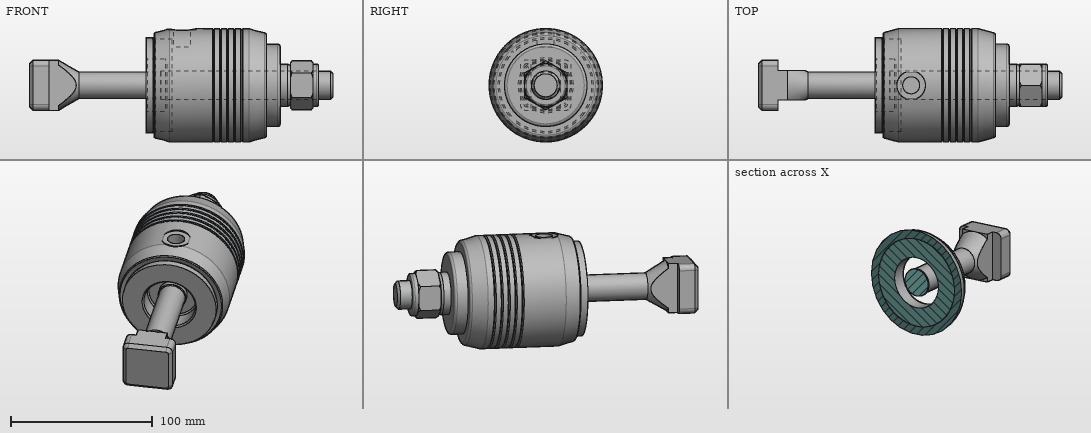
import cadquery as cq
import math

TOTAL_LENGTH = 214.0

HEAD_WIDTH = 35.5
HEAD_LENGTH = 14.0
HEAD_CORNER_RADIUS = 4.0
HEAD_CHAMFER = 2.5
NECK_WIDTH = 21.0
NECK_END = 20.5
CONE_END = 34.9
SHANK_RADIUS = 9.5
THREAD_RADIUS = 10.0
THREAD_START = 92.2
THREAD_END_CHAMFER = 2.0

PISTON_FRONT = 82.2
PISTON_RIM_RADIUS = 33.5
PISTON_RIM_LENGTH = 5.0
PISTON_BODY_RADIUS = 32.5
PISTON_LENGTH = 18.2
PISTON_BORE_RADIUS = 19.5
PISTON_BORE_DEPTH = 14.8
PISTON_BORE_CHAMFER = 1.0

HOUSING_FRONT = 87.7
HOUSING_RADIUS = 40.0
HOUSING_LENGTH = 79.5
FRONT_TAPER_LENGTH = 11.1
REAR_TAPER_LENGTH = 12.5
TAPER_SLOPE = math.tan(math.radians(15))
HOUSING_REAR_ROUND = 2.1
RIM_CHAMFER = 0.6
FLARE_DEPTH = 1.3
FLANGE_RADIUS = 29.0
FLANGE_LENGTH = 9.6
FLANGE_ROUND = 2.0

GROOVE_COUNT = 5
GROOVE_FIRST = 129.7
GROOVE_PITCH = 4.99
GROOVE_WIDTH = 1.5
GROOVE_DEPTH = 1.0

PORT_X = 107.6
PORT_SEAT_RADIUS = 10.0
PORT_SEAT_HEIGHT = 39.0
PORT_RADIUS = 6.0
PORT_DEPTH = 12.0

WASHER_RADIUS = 15.0
WASHER_LENGTH = 7.0
WASHER_CHAMFER_ALONG = 2.0
WASHER_CHAMFER_ACROSS = 0.9
NUT_ACROSS_FLATS = 30.0
NUT_HEX_LENGTH = 16.0
NUT_LENGTH = 20.0
NUT_FACE_RADIUS = 15.8
NUT_CHAMFER_LENGTH = 1.3
COLLAR_ROUND = 1.3

PISTON_REAR = PISTON_FRONT + PISTON_LENGTH
HOUSING_REAR = HOUSING_FRONT + HOUSING_LENGTH
WASHER_FRONT = HOUSING_REAR + FLANGE_LENGTH
NUT_FRONT = WASHER_FRONT + WASHER_LENGTH


def turned(outline):
    """Solid of revolution about the X axis from (x, radius) points."""
    return cq.Workplane("XY").polyline(outline).close().revolve(360, (0, 0, 0), (1, 0, 0))


def cylinder(start, end, radius):
    """Cylinder on the X axis between two X positions."""
    return cq.Workplane("YZ", origin=(start, 0, 0)).circle(radius).extrude(end - start)


def make_bolt():
    half_width = HEAD_WIDTH / 2
    head = (
        cq.Workplane("YZ")
        .rect(HEAD_WIDTH, HEAD_WIDTH)
        .extrude(HEAD_LENGTH)
        .edges("|X")
        .fillet(HEAD_CORNER_RADIUS)
        .faces("<X")
        .chamfer(HEAD_CHAMFER)
    )
    neck = (
        cq.Workplane("YZ", origin=(HEAD_LENGTH, 0, 0))
        .rect(NECK_WIDTH, HEAD_WIDTH)
        .extrude(NECK_END - HEAD_LENGTH)
    )
    flats = cq.Workplane("XY").box(2 * TOTAL_LENGTH, NECK_WIDTH, HEAD_WIDTH)
    cone = turned(
        [(NECK_END, 0), (NECK_END, half_width), (CONE_END, SHANK_RADIUS), (CONE_END, 0)]
    ).intersect(flats)
    shank = turned(
        [
            (NECK_END, 0),
            (NECK_END, SHANK_RADIUS),
            (THREAD_START, SHANK_RADIUS),
            (THREAD_START + THREAD_RADIUS - SHANK_RADIUS, THREAD_RADIUS),
            (TOTAL_LENGTH - THREAD_END_CHAMFER, THREAD_RADIUS),
            (TOTAL_LENGTH, THREAD_RADIUS - THREAD_END_CHAMFER),
            (TOTAL_LENGTH, 0),
        ]
    )
    return head.union(neck).union(cone).union(shank)


def make_piston():
    rim_end = PISTON_FRONT + PISTON_RIM_LENGTH
    bore_end = PISTON_FRONT + PISTON_BORE_DEPTH
    narrow_radius = PISTON_BORE_RADIUS - PISTON_BORE_CHAMFER
    return turned(
        [
            (PISTON_FRONT, PISTON_BORE_RADIUS),
            (PISTON_FRONT, PISTON_RIM_RADIUS),
            (rim_end, PISTON_RIM_RADIUS),
            (rim_end, PISTON_BODY_RADIUS),
            (PISTON_REAR, PISTON_BODY_RADIUS),
            (PISTON_REAR, THREAD_RADIUS),
            (bore_end, THREAD_RADIUS),
            (bore_end, narrow_radius - PISTON_BORE_CHAMFER),
            (bore_end - PISTON_BORE_CHAMFER, narrow_radius),
            (PISTON_FRONT + PISTON_BORE_CHAMFER, narrow_radius),
        ]
    )


def make_housing_body():
    """Tapered barrel with a flared recess for the piston and a stepped rear flange."""
    front_radius = HOUSING_RADIUS - FRONT_TAPER_LENGTH * TAPER_SLOPE
    rear_radius = HOUSING_RADIUS - REAR_TAPER_LENGTH * TAPER_SLOPE
    flare_radius = front_radius - RIM_CHAMFER
    barrel = turned(
        [
            (HOUSING_FRONT, 0),
            (HOUSING_FRONT, flare_radius),
            (HOUSING_FRONT + RIM_CHAMFER, front_radius + RIM_CHAMFER * TAPER_SLOPE),
            (HOUSING_FRONT + FRONT_TAPER_LENGTH, HOUSING_RADIUS),
            (HOUSING_REAR - REAR_TAPER_LENGTH, HOUSING_RADIUS),
            (HOUSING_REAR, rear_radius),
            (HOUSING_REAR, 0),
        ]
    )
    barrel = barrel.faces(">X").edges().fillet(HOUSING_REAR_ROUND)
    flange = cylinder(HOUSING_REAR, WASHER_FRONT, FLANGE_RADIUS).faces(">X").edges().fillet(FLANGE_ROUND)
    recess = turned(
        [
            (HOUSING_FRONT, 0),
            (HOUSING_FRONT, flare_radius),
            (HOUSING_FRONT + FLARE_DEPTH, PISTON_BODY_RADIUS),
            (PISTON_REAR, PISTON_BODY_RADIUS),
            (PISTON_REAR, 0),
        ]
    )
    bolt_hole = cylinder(HOUSING_FRONT, WASHER_FRONT, THREAD_RADIUS)
    return barrel.union(flange).cut(recess).cut(bolt_hole)


def make_groove(x):
    """V-shaped ring that cuts one grip groove centred at the given X."""
    half_width = GROOVE_WIDTH / 2
    return turned(
        [
            (x - half_width, HOUSING_RADIUS),
            (x, HOUSING_RADIUS - GROOVE_DEPTH),
            (x + half_width, HOUSING_RADIUS),
        ]
    )


def make_housing():
    housing = make_housing_body()
    for index in range(GROOVE_COUNT):
        housing = housing.cut(make_groove(GROOVE_FIRST + index * GROOVE_PITCH))
    port_plane = cq.Workplane("XY", origin=(PORT_X, 0, PORT_SEAT_HEIGHT))
    seat = port_plane.circle(PORT_SEAT_RADIUS).extrude(HOUSING_RADIUS - PORT_SEAT_HEIGHT)
    port = port_plane.circle(PORT_RADIUS).extrude(-PORT_DEPTH)
    return housing.cut(seat).cut(port)


def make_washer():
    washer_rear = WASHER_FRONT + WASHER_LENGTH
    return turned(
        [
            (WASHER_FRONT, THREAD_RADIUS),
            (WASHER_FRONT, WASHER_RADIUS),
            (washer_rear - WASHER_CHAMFER_ALONG, WASHER_RADIUS),
            (washer_rear, WASHER_RADIUS - WASHER_CHAMFER_ACROSS),
            (washer_rear, THREAD_RADIUS),
        ]
    )


def make_nut():
    """Hexagon nut, flats facing +Y and -Y, with a round collar behind it."""
    corner_radius = NUT_ACROSS_FLATS / math.sqrt(3)
    collar_radius = NUT_ACROSS_FLATS / 2
    hex_end = NUT_FRONT + NUT_HEX_LENGTH
    nut_end = NUT_FRONT + NUT_LENGTH
    hexagon = (
        cq.Workplane("YZ", origin=(NUT_FRONT, 0, 0))
        .transformed(rotate=(0, 0, 90))
        .polygon(6, 2 * corner_radius)
        .extrude(NUT_HEX_LENGTH)
    )
    chamfered_blank = turned(
        [
            (NUT_FRONT, 0),
            (NUT_FRONT, NUT_FACE_RADIUS),
            (NUT_FRONT + NUT_CHAMFER_LENGTH, corner_radius),
            (hex_end - NUT_CHAMFER_LENGTH, corner_radius),
            (hex_end, NUT_FACE_RADIUS),
            (hex_end, 0),
        ]
    )
    collar = cylinder(hex_end, nut_end, collar_radius).faces(">X").edges().fillet(COLLAR_ROUND)
    thread_hole = cylinder(NUT_FRONT, nut_end, THREAD_RADIUS)
    return hexagon.intersect(chamfered_blank).union(collar).cut(thread_hole)


bolt = make_bolt()
piston = make_piston()
housing = make_housing()
washer = make_washer()
nut = make_nut()

result = cq.Compound.makeCompound(
    [bolt.val(), piston.val(), housing.val(), washer.val(), nut.val()]
)